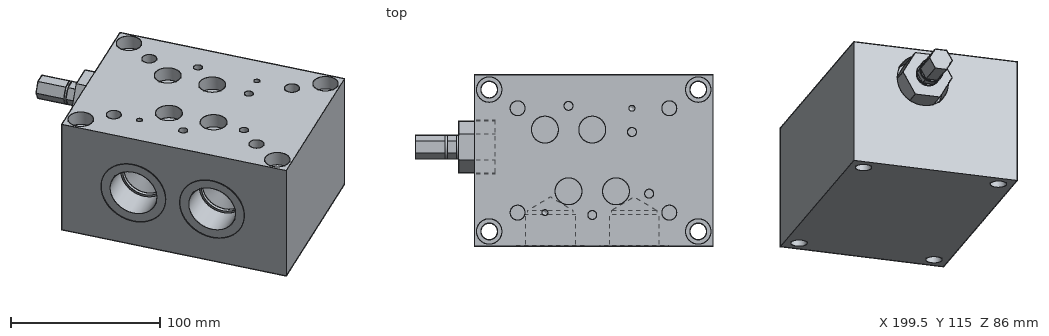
import cadquery as cq
import math

block_length = 160.0
block_width = 115.0
block_height = 86.0

corner_inset = 10.0
corner_hole_diameter = 11.0
corner_counterbore_diameter = 17.0
corner_counterbore_depth = 10.0

pattern_length = 101.6
pattern_width = 69.9
pattern_x = 29.0
pattern_y = 92.5

valve_bolt_points = [
    (0, 0),
    (pattern_length, 0),
    (0, pattern_width),
    (pattern_length, pattern_width),
]
valve_bolt_diameter = 10.0
valve_bolt_depth = 20.0

main_port_points = [(18.3, 14.3), (50.0, 14.3), (34.1, 55.6), (65.9, 55.6)]
main_port_diameter = 18.0
main_port_depth = 10.0

small_hole_points = [(34.1, -1.6), (76.6, 15.9), (88.1, 57.2), (50.0, 71.5)]
small_hole_diameter = 6.0
small_hole_depth = 15.0

locating_pin_points = [(76.6, 0), (18.3, pattern_width)]
locating_pin_diameter = 4.0
locating_pin_depth = 8.0

drill_point_half_angle = math.radians(59)

service_port_xs = [51.0, 107.0]
service_port_z = 42.0
spotface_diameter = 46.0
spotface_depth = 0.5
thread_diameter = 33.25
thread_depth = 21.5
tap_drill_diameter = 30.5
tap_drill_depth = 24.0

cartridge_y = 66.5
cartridge_z = 64.0
cartridge_recess_diameter = 36.0
cartridge_recess_depth = 14.0

nut_across_flats = 30.0
nut_protrusion = 10.5
collar_diameter = 16.0
collar_length = 1.5
stem_across_corners = 16.0
stem_tip = 39.5
ring_diameter = 16.0
ring_thickness = 1.5
ring_start = 19.5


def cartridge_plane(x):
    """A YZ workplane at the given X, centred on the cartridge axis."""
    return cq.Workplane("YZ", origin=(x, cartridge_y, cartridge_z))


def drilled_hole(diameter, depth):
    """A conical-ended hole along -Z from the origin; depth is to the start of the cone."""
    radius = diameter / 2
    tip_depth = depth + radius / math.tan(drill_point_half_angle)
    outline = cq.Workplane("XZ").polyline([(0, 0), (radius, 0), (radius, -depth), (0, -tip_depth)])
    return outline.close().revolve(360, (0, 0), (0, 1))


def on_pattern(points):
    """Turn valve-pattern points into X, Y places on the block."""
    return [(pattern_x + x, pattern_y - y) for x, y in points]


def top_holes(body, points, diameter, depth):
    """Cut flat-ended holes from the top face at the given valve-pattern points."""
    top = cq.Workplane("XY").workplane(offset=block_height)
    cutter = top.pushPoints(on_pattern(points)).circle(diameter / 2).extrude(-depth)
    return body.cut(cutter)


def corner_holes(body):
    """Cut the four counterbored through holes at the corners."""
    corners = [
        (x, y)
        for x in (corner_inset, block_length - corner_inset)
        for y in (corner_inset, block_width - corner_inset)
    ]
    top = cq.Workplane("XY").workplane(offset=block_height).pushPoints(corners)
    through = top.circle(corner_hole_diameter / 2).extrude(-block_height)
    counterbore = top.circle(corner_counterbore_diameter / 2).extrude(-corner_counterbore_depth)
    return body.cut(through).cut(counterbore)


def locating_pin_holes(body):
    """Cut the two drilled pin holes in the top face."""
    for x, y in on_pattern(locating_pin_points):
        hole = drilled_hole(locating_pin_diameter, locating_pin_depth)
        body = body.cut(hole.translate((x, y, block_height)))
    return body


def service_port():
    """A spotfaced, threaded and drilled port along +Y from the origin."""
    spotface = cq.Workplane("XY").circle(spotface_diameter / 2).extrude(-spotface_depth)
    thread = cq.Workplane("XY").circle(thread_diameter / 2).extrude(-thread_depth)
    drill = drilled_hole(tap_drill_diameter, tap_drill_depth)
    port = spotface.union(thread).union(drill)
    return port.rotate((0, 0, 0), (1, 0, 0), 90)


def make_block():
    """The manifold block with all its holes."""
    body = cq.Workplane("XY").box(block_length, block_width, block_height, centered=False)
    body = corner_holes(body)
    body = top_holes(body, valve_bolt_points, valve_bolt_diameter, valve_bolt_depth)
    body = top_holes(body, main_port_points, main_port_diameter, main_port_depth)
    body = top_holes(body, small_hole_points, small_hole_diameter, small_hole_depth)
    body = locating_pin_holes(body)
    for x in service_port_xs:
        body = body.cut(service_port().translate((x, 0, service_port_z)))
    recess = cartridge_plane(0).circle(cartridge_recess_diameter / 2).extrude(cartridge_recess_depth)
    return body.cut(recess)


def make_cartridge():
    """The adjuster cartridge: nut seated in the recess, collar, hexagonal stem and ring."""
    nut_across_corners = nut_across_flats / math.cos(math.pi / 6)
    nut_length = nut_protrusion + cartridge_recess_depth
    nut = cartridge_plane(-nut_protrusion).polygon(6, nut_across_corners).extrude(nut_length)
    collar = cartridge_plane(-nut_protrusion).circle(collar_diameter / 2).extrude(-collar_length)
    stem_length = stem_tip - nut_protrusion
    stem = cartridge_plane(-stem_tip).polygon(6, stem_across_corners).extrude(stem_length)
    ring = cartridge_plane(-ring_start).circle(ring_diameter / 2).extrude(ring_thickness)
    return nut.union(collar).union(stem).union(ring)


block = make_block()
cartridge = make_cartridge()

result = cq.Compound.makeCompound([block.solids().val(), cartridge.solids().val()])